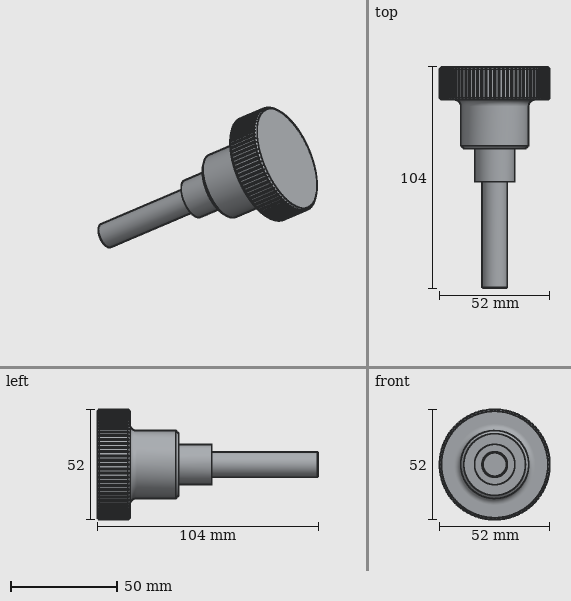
import cadquery as cq
import math

overall_length = 104.0

head_diameter = 52.0
head_height = 15.5
head_chamfer = 1.0
hub_diameter = 32.0
hub_chamfer = 1.5
neck_fillet = 3.0
knob_height = 38.5

groove_count = 80
groove_depth = 0.4
groove_angle = 90.0
groove_overshoot = 0.5

collar_diameter = 19.0
pin_diameter = 12.0
pin_length = 50.0
pin_chamfer = 0.5
collar_length = overall_length - knob_height - pin_length

collar_end_y = 0.0
pin_tip_y = collar_end_y - pin_length
hub_face_y = collar_end_y + collar_length
knob_top_y = hub_face_y + knob_height
head_under_y = knob_top_y - head_height

head_radius = head_diameter / 2
hub_radius = hub_diameter / 2
collar_radius = collar_diameter / 2
pin_radius = pin_diameter / 2


def revolve_about_y(half_profile):
    """Turn a closed half profile in the XY plane a full turn about the Y axis."""
    return half_profile.revolve(360, (0, 0, 0), (0, 1, 0))


def make_knurl_cutters():
    """V-shaped prisms over the full head height, spaced evenly around the rim."""
    outer_radius = head_radius + groove_overshoot
    root_radius = head_radius - groove_depth
    half_width = (outer_radius - root_radius) * math.tan(math.radians(groove_angle / 2))
    cutter = (
        cq.Workplane("XZ", origin=(0, knob_top_y, 0))
        .moveTo(root_radius, 0)
        .lineTo(outer_radius, half_width)
        .lineTo(outer_radius, -half_width)
        .close()
        .extrude(head_height)
        .val()
    )
    step = 360 / groove_count
    cutters = [
        cutter.rotate(cq.Vector(0, 0, 0), cq.Vector(0, 1, 0), index * step)
        for index in range(groove_count)
    ]
    return cq.Compound.makeCompound(cutters)


def make_knob():
    """Chamfered head with a filleted hub below it and knurling around the rim."""
    blank = revolve_about_y(
        cq.Workplane("XY")
        .moveTo(0, hub_face_y)
        .lineTo(hub_radius - hub_chamfer, hub_face_y)
        .lineTo(hub_radius, hub_face_y + hub_chamfer)
        .lineTo(hub_radius, head_under_y - neck_fillet)
        .radiusArc((hub_radius + neck_fillet, head_under_y), neck_fillet)
        .lineTo(head_radius - head_chamfer, head_under_y)
        .lineTo(head_radius, head_under_y + head_chamfer)
        .lineTo(head_radius, knob_top_y - head_chamfer)
        .lineTo(head_radius - head_chamfer, knob_top_y)
        .lineTo(0, knob_top_y)
        .close()
    )
    return blank.cut(make_knurl_cutters())


def make_stud():
    """Collar seated against the hub face, stepping down to a chamfered pin."""
    return revolve_about_y(
        cq.Workplane("XY")
        .moveTo(0, hub_face_y)
        .lineTo(collar_radius, hub_face_y)
        .lineTo(collar_radius, collar_end_y)
        .lineTo(pin_radius, collar_end_y)
        .lineTo(pin_radius, pin_tip_y + pin_chamfer)
        .lineTo(pin_radius - pin_chamfer, pin_tip_y)
        .lineTo(0, pin_tip_y)
        .close()
    )


knob = make_knob()
stud = make_stud()

result = cq.Compound.makeCompound([knob.val(), stud.val()])